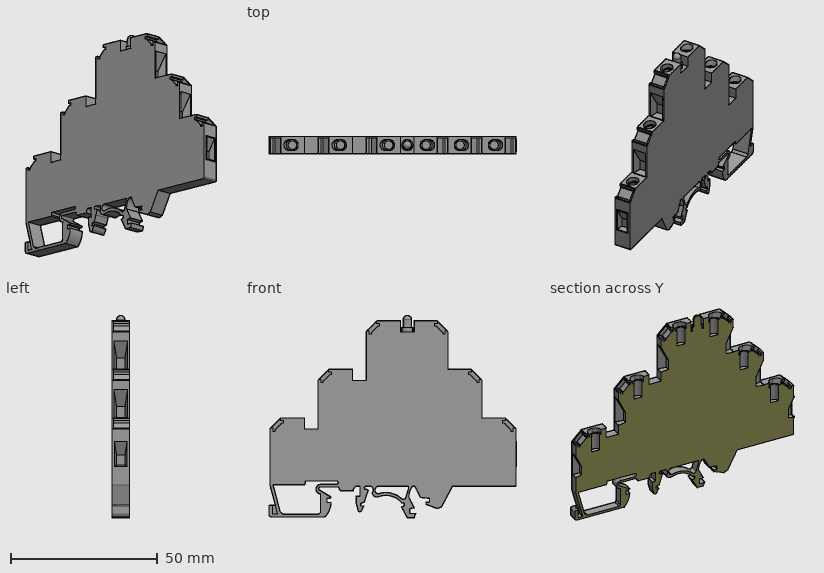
import cadquery as cq
THICKNESS = 6.0
HALF = THICKNESS / 2

LEVELS = 3
LEFT_WALL = 0.35
LEFT_PITCH = 16.4
RIGHT_WALL = 84.3
RIGHT_PITCH = 11.6
LOW_TOP = 34.1
LEVEL_PITCH = 16.55
CORNER = 3.8
NOTCH_DEPTH = 3.8
TERMINAL_WIDTH = 11.85
EDGE_ROUND = 0.5

BOTTOM = 10.7
LEFT_BOTTOM = 11.2
SLOT_TOP = 12.5
SLOT_START = 12.5
SLOT_END = 23.1
ARM_TOP = 11.45
ARM_BOTTOM = 10.45
LUG_BOTTOM = 9.2

LAMP_X = 47.2
LAMP_NOTCH_WIDTH = 4.6
LAMP_COLLAR_D = 3.8
LAMP_COLLAR_H = 1.5
LAMP_D = 2.9
PART_TOP = 68.99

LEFT_SCREW_INSET = 7.7
RIGHT_SCREW_INSET = 7.5
SCREW_D = 3.8
SCREW_DEPTH = 1.9
SCREW_INNER_D = 2.9
SCREW_INNER_DEPTH = 8.0
SCREW_TILT = 24.0

UPPER_FUNNEL_DEPTH = 2.8
LOW_FUNNEL_DEPTH = 2.2
FUNNEL_INNER_W = 2.8
FUNNEL_INNER_TOP = 12.75
UPPER_INNER_H = 3.7
UPPER_MOUTH_W = 4.75
UPPER_MOUTH_H = 9.9
UPPER_MOUTH_TOP = 6.9
LOW_INNER_H = 3.3
LOW_MOUTH_W = 4.3
LOW_MOUTH_H = 8.4
LOW_MOUTH_TOP = 8.15
LIP_OUT = 0.2
LIP_RIM = 0.3

MARKER_WALL = 0.5
MARKER_NECK = 3.57
MARKER_NEAR = 1.0
MARKER_FAR = 4.6
MARKER_HOOK = 1.8
MARKER_FLOOR = 4.1

POCKET_WEB = 1.0
POCKET_LEFT = 1.3
POCKET_BOTTOM = 1.3
CLIP_TAB_TOP = 4.3
CLIP_TAB_ROUND = 0.5
CLIP_BASE = 0.25
CLIP_HEEL_ROUND = 1.0


def level_top(level):
    return LOW_TOP + level * LEVEL_PITCH


def left_wall(level):
    return LEFT_WALL + level * LEFT_PITCH


def right_wall(level):
    return RIGHT_WALL - level * RIGHT_PITCH


def through_plate(outline):
    """Extrude a closed XZ outline over the full thickness."""
    return outline.close().extrude(HALF, both=True)


def start(x, z):
    return cq.Workplane("XZ").moveTo(x, z)


def make_plate():
    left_steps = []
    for level in range(LEVELS):
        wall, top = left_wall(level), level_top(level)
        left_steps += [(wall, top - CORNER), (wall + CORNER, top)]
        if level < LEVELS - 1:
            notch = wall + TERMINAL_WIDTH
            left_steps += [(notch, top), (notch, top - NOTCH_DEPTH), (left_wall(level + 1), top - NOTCH_DEPTH)]
    right_steps = []
    for level in reversed(range(LEVELS)):
        wall, top = right_wall(level), level_top(level)
        right_steps += [(wall - CORNER, top), (wall, top - CORNER)]
        if level > 0:
            right_steps.append((wall, level_top(level - 1)))
    slot_middle = (SLOT_TOP + ARM_TOP) / 2
    slot_radius = (SLOT_TOP - ARM_TOP) / 2
    outline = (
        start(LEFT_WALL, LEFT_BOTTOM)
        .polyline(left_steps + right_steps, includeCurrent=True)
        .lineTo(RIGHT_WALL, BOTTOM + EDGE_ROUND)
        .radiusArc((RIGHT_WALL - EDGE_ROUND, BOTTOM), EDGE_ROUND)
        .lineTo(29.7, BOTTOM)
        .threePointArc((29.2, 10.3), (28.8, LUG_BOTTOM))
        .lineTo(24.4, LUG_BOTTOM)
        .lineTo(23.7, ARM_BOTTOM)
        .lineTo(SLOT_END, ARM_BOTTOM)
        .lineTo(SLOT_END, ARM_TOP)
        .threePointArc((SLOT_END + slot_radius, slot_middle), (SLOT_END, SLOT_TOP))
        .lineTo(SLOT_START, SLOT_TOP)
        .lineTo(SLOT_START, LEFT_BOTTOM + 0.4)
        .lineTo(SLOT_START - 0.4, LEFT_BOTTOM)
    )
    return through_plate(outline)


def make_clip():
    """Left rail clip: slanted leg, base bar, hooked jaw and folded arm back to the plate."""
    outline = (
        start(LEFT_WALL, LEFT_BOTTOM)
        .lineTo(2.2, CLIP_TAB_TOP)
        .lineTo(CLIP_TAB_ROUND, CLIP_TAB_TOP)
        .radiusArc((0, CLIP_TAB_TOP - CLIP_TAB_ROUND), -CLIP_TAB_ROUND)
        .lineTo(0, CLIP_BASE + CLIP_HEEL_ROUND)
        .radiusArc((CLIP_HEEL_ROUND, CLIP_BASE), -CLIP_HEEL_ROUND)
        .lineTo(19.1, CLIP_BASE)
        .threePointArc((20.6, 2.4), (21.25, 5.3))
        .lineTo(19.85, 5.3)
        .lineTo(19.85, 6.6)
        .lineTo(20.9, 6.6)
        .lineTo(21.2, 7.1)
        .lineTo(17.4, 9.4)
        .threePointArc((17.05, 10.0), (17.6, ARM_BOTTOM))
        .lineTo(SLOT_END, ARM_BOTTOM)
        .lineTo(SLOT_END, ARM_TOP)
        .lineTo(17.8, ARM_TOP)
        .threePointArc((16.1, 10.1), (17.55, 8.1))
        .lineTo(17.55, 1.8)
        .lineTo(17.05, 1.3)
        .lineTo(4.8, 1.3)
        .lineTo(3.9, 2.1)
        .lineTo(1.5, LEFT_BOTTOM)
    )
    pocket = (
        start(POCKET_LEFT, CLIP_TAB_TOP)
        .lineTo(2.2, CLIP_TAB_TOP)
        .lineTo(2.95, POCKET_BOTTOM)
        .lineTo(POCKET_LEFT, POCKET_BOTTOM)
        .close()
        .extrude(THICKNESS - POCKET_WEB)
        .translate((0, HALF - POCKET_WEB, 0))
    )
    return through_plate(outline).cut(pocket)


def make_prong():
    """Short hooked prong beside the lug."""
    outline = (
        start(31.05, BOTTOM)
        .lineTo(31.05, 7.4)
        .lineTo(29.8, 7.4)
        .lineTo(29.8, 4.9)
        .lineTo(30.4, 2.6)
        .threePointArc((31.0, 2.05), (31.7, 2.6))
        .lineTo(32.4, 4.0)
        .lineTo(31.4, 4.1)
        .lineTo(31.4, 4.9)
        .lineTo(32.6, 5.35)
        .lineTo(33.3, 7.6)
        .lineTo(33.9, 9.3)
        .threePointArc((33.6, 9.6), (32.9, 9.75))
        .threePointArc((32.6, 10.2), (33.1, BOTTOM))
    )
    return through_plate(outline)


def make_spring():
    """Curved spring arm and hooked leg that close a window under the plate."""
    outline = (
        start(34.9, BOTTOM)
        .threePointArc((35.4, 10.2), (35.2, 8.5))
        .threePointArc((36.0, 7.3), (37.4, 7.15))
        .threePointArc((42.3, 7.2), (45.3, 5.1))
        .lineTo(46.1, 4.9)
        .lineTo(46.1, 4.1)
        .lineTo(45.2, 3.7)
        .lineTo(47.2, 0)
        .lineTo(49.6, 0)
        .lineTo(50.1, 1.5)
        .lineTo(48.1, 1.5)
        .lineTo(48.1, 3.1)
        .lineTo(49.6, 3.4)
        .lineTo(47.8, 6.9)
        .threePointArc((48.0, 8.8), (48.7, 10.3))
        .lineTo(49.0, BOTTOM)
        .lineTo(47.6, BOTTOM)
        .lineTo(47.6, 10.0)
        .lineTo(46.7, 7.0)
        .threePointArc((46.0, 6.35), (45.2, 6.6))
        .threePointArc((41.5, 8.5), (37.2, 8.2))
        .threePointArc((36.25, 9.2), (37.1, BOTTOM))
    )
    return through_plate(outline)


def make_rail_foot():
    """Fixed foot with the undercut that grips the rail."""
    outline = (
        start(49.8, BOTTOM)
        .lineTo(51.7, 6.9)
        .lineTo(54.7, 6.6)
        .lineTo(54.7, 5.4)
        .lineTo(53.5, 5.3)
        .lineTo(53.5, 4.6)
        .lineTo(57.4, 3.1)
        .lineTo(58.9, 3.7)
        .lineTo(62.6, BOTTOM)
    )
    return through_plate(outline)


def make_lamp():
    seat = level_top(LEVELS - 1) - NOTCH_DEPTH
    radius = LAMP_D / 2
    dome_base = PART_TOP - radius
    profile = (
        start(LAMP_X, seat)
        .lineTo(LAMP_X + LAMP_COLLAR_D / 2, seat)
        .lineTo(LAMP_X + LAMP_COLLAR_D / 2, seat + LAMP_COLLAR_H)
        .lineTo(LAMP_X + radius, seat + LAMP_COLLAR_H)
        .lineTo(LAMP_X + radius, dome_base)
        .radiusArc((LAMP_X, PART_TOP), -radius)
        .close()
    )
    return profile.revolve(360, (LAMP_X, 0, 0), (LAMP_X, 1, 0))


def make_lamp_notch():
    return (
        cq.Workplane("XY", origin=(LAMP_X, 0, level_top(LEVELS - 1) - NOTCH_DEPTH))
        .rect(LAMP_NOTCH_WIDTH, THICKNESS)
        .extrude(NOTCH_DEPTH)
    )


def make_screw_hole(wall, inward, top, inset):
    """Stepped vertical hole joined by a slanted bore that leans towards the outer wall."""
    x = wall + inward * inset
    above = SCREW_D
    upright = cq.Workplane("XY", origin=(x, 0, top)).circle(SCREW_D / 2).extrude(-SCREW_DEPTH)
    inner = cq.Workplane("XY", origin=(x, 0, top)).circle(SCREW_INNER_D / 2).extrude(-SCREW_INNER_DEPTH)
    slanted = (
        cq.Workplane("XY", origin=(x, 0, top - 2 * SCREW_DEPTH))
        .circle(SCREW_D / 2)
        .extrude(2 * SCREW_DEPTH + above)
        .rotate((x, 0, top - SCREW_DEPTH), (x, 1, top - SCREW_DEPTH), -inward * SCREW_TILT)
    )
    keep = (
        cq.Workplane("XY", origin=(x, 0, top))
        .rect(4 * SCREW_D, THICKNESS)
        .extrude(-SCREW_DEPTH)
    )
    return upright.union(slanted.intersect(keep)).union(inner)


def make_funnel(wall, inward, top, depth, inner_h, mouth_w, mouth_h, mouth_top):
    """Tapered rectangular pocket from a mouth in the wall down to a smaller flat end."""
    mouth_z = top - mouth_top - mouth_h / 2
    inner_z = top - FUNNEL_INNER_TOP - inner_h / 2
    return (
        cq.Workplane("YZ", origin=(wall, 0, 0))
        .center(0, mouth_z)
        .rect(mouth_w, mouth_h)
        .workplane(offset=inward * depth)
        .center(0, inner_z - mouth_z)
        .rect(FUNNEL_INNER_W, inner_h)
        .loft(ruled=True)
    )


def make_upper_funnel(wall, inward, top):
    return make_funnel(
        wall, inward, top, UPPER_FUNNEL_DEPTH, UPPER_INNER_H, UPPER_MOUTH_W, UPPER_MOUTH_H, UPPER_MOUTH_TOP
    )


def make_low_funnel(wall, inward, rim):
    """Lowest funnel, with its mouth drawn in by the rim width on every side."""
    width = LOW_MOUTH_W - 2 * rim
    height = LOW_MOUTH_H - 2 * rim
    return make_funnel(
        wall, inward, LOW_TOP, LOW_FUNNEL_DEPTH, LOW_INNER_H, width, height, LOW_MOUTH_TOP + rim
    )


def make_marker_recess(wall, inward, top):
    """Hooked recess behind a corner cut, open at the -Y side."""
    half = [
        (MARKER_NECK, 0),
        (MARKER_NECK, MARKER_NEAR),
        (MARKER_FAR, MARKER_NEAR),
        (MARKER_FAR, MARKER_HOOK),
        (MARKER_FLOOR, MARKER_HOOK),
    ]
    mirrored = [(down, across) for across, down in reversed(half)]
    points = [(wall + inward * across, top - down) for across, down in half + mirrored]
    return (
        cq.Workplane("XZ", origin=(0, HALF - MARKER_WALL, 0))
        .polyline(points)
        .close()
        .extrude(THICKNESS)
    )


def make_lip():
    return (
        cq.Workplane("YZ", origin=(RIGHT_WALL, 0, 0))
        .center(0, LOW_TOP - LOW_MOUTH_TOP - LOW_MOUTH_H / 2)
        .rect(LOW_MOUTH_W, LOW_MOUTH_H)
        .extrude(LIP_OUT)
    )


result = make_plate().cut(make_lamp_notch())
for piece in (make_clip(), make_prong(), make_spring(), make_rail_foot(), make_lamp(), make_lip()):
    result = result.union(piece)

for level in range(LEVELS):
    top = level_top(level)
    sides = (
        (left_wall(level), 1, LEFT_SCREW_INSET),
        (right_wall(level), -1, RIGHT_SCREW_INSET),
    )
    for wall, inward, inset in sides:
        result = result.cut(make_screw_hole(wall, inward, top, inset))
        result = result.cut(make_marker_recess(wall, inward, top))
        if level > 0:
            result = result.cut(make_upper_funnel(wall, inward, top))

result = result.cut(make_low_funnel(left_wall(0), 1, 0))
result = result.cut(make_low_funnel(right_wall(0) + LIP_OUT, -1, LIP_RIM))